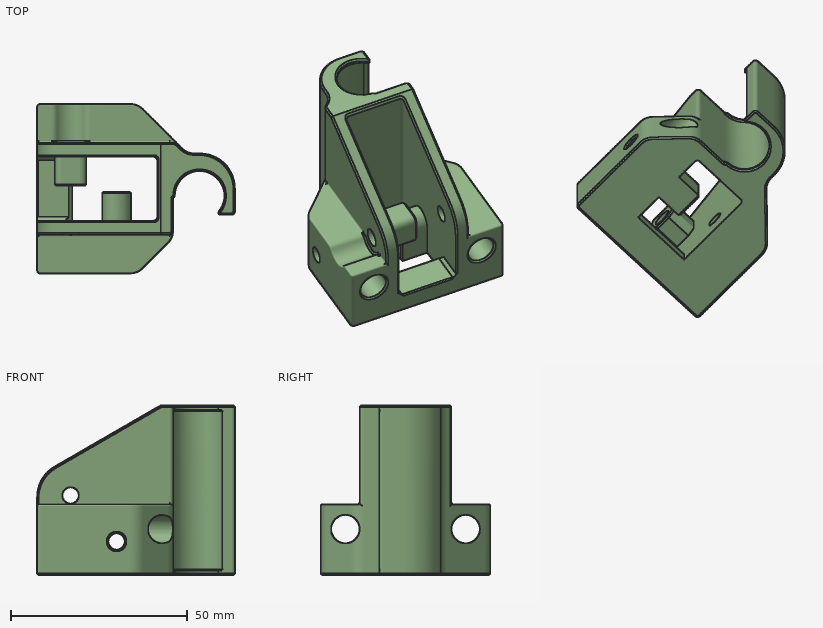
import cadquery as cq
import math

BODY_LENGTH = 38.5
BODY_HALF_WIDTH = 24.0
HOUSING_HALF_WIDTH = 13.0
BASE_HEIGHT = 20.0
TOTAL_HEIGHT = 48.0
DIAGONAL_SUM = 52.4
DIAGONAL_FILLET = 5.0
CORNER_FILLET = 1.0
EDGE_CHAMFER = 0.5
RIM_FILLET = 0.5

CLIP_X = 46.0
CLIP_OUTER_RADIUS = 10.0
BORE_Y = -2.0
BORE_RADIUS = 7.0
CLIP_TIP_Y = -7.4
TIP_INNER_FILLET = 0.6
RELIEF_RADIUS = 7.5
RELIEF_TIP_X = 52.4
LIP_HEIGHT = 1.2
BORE_LEAD_IN = 0.7

NOSE_RADIUS = 10.0
NOSE_CENTRE_Z = 22.0
SLOPE_ANGLE = math.radians(30)
NOSE_END_X = NOSE_RADIUS * (1 - math.sin(SLOPE_ANGLE))
NOSE_END_Z = NOSE_CENTRE_Z + NOSE_RADIUS * math.cos(SLOPE_ANGLE)
SLOPE_END_X = NOSE_END_X + (TOTAL_HEIGHT - NOSE_END_Z) / math.tan(SLOPE_ANGLE)

POCKET_HALF_WIDTH = 9.0
POCKET_LENGTH = 34.0
FLOOR_LENGTH = 10.0
FLOOR_HEIGHT = 6.1
FLOOR_CHAMFER = 1.0
FLOOR_FRONT_CHAMFER = 0.4

MOUNT_HOLE_Y = 17.0
MOUNT_HOLE_Z = 13.0
MOUNT_HOLE_DIAMETER = 8.0

SCREW_DIAMETER = 4.6
UPPER_SCREW_X = 9.5
UPPER_SCREW_Z = 22.5
LOWER_SCREW_X = 22.5
LOWER_SCREW_Z = 9.5
BOSS_HOLE_DIAMETER = 5.2
BOSS_LENGTH = 8.2
UPPER_BOSS_WIDTH = 9.0
UPPER_BOSS_TOP = 28.5
UPPER_BOSS_BOTTOM = 18.3
UPPER_BOSS_FILLET = 2.0
UPPER_BOSS_BEVEL = 2.2
LOWER_BOSS_RADIUS = 4.1
HEAD_TROUGH_RADIUS = 5.0
TROUGH_LIP_RADIUS = 2.0
TROUGH_SPREAD = HEAD_TROUGH_RADIUS + TROUGH_LIP_RADIUS
TROUGH_LIP_DROP = UPPER_SCREW_Z - BASE_HEIGHT + TROUGH_LIP_RADIUS
TROUGH_HALF_WIDTH = math.sqrt(TROUGH_SPREAD**2 - TROUGH_LIP_DROP**2)
WALL_OVERLAP = 1.0

MARGIN = 1.0
TOLERANCE = 0.01


def plan_prism(height):
    """Block outline with the tube clip, extruded upwards from Z = 0."""
    diagonal_start_x = DIAGONAL_SUM - BODY_HALF_WIDTH
    tip_drop = BORE_Y - CLIP_TIP_Y
    tip_x = CLIP_X + math.sqrt(BORE_RADIUS**2 - tip_drop**2)
    outer_x = CLIP_X + CLIP_OUTER_RADIUS
    clip_diagonal_x = DIAGONAL_SUM - CLIP_OUTER_RADIUS
    arc_step = CLIP_OUTER_RADIUS * math.sqrt(0.5)
    prism = (
        cq.Workplane("XY")
        .moveTo(0, -BODY_HALF_WIDTH)
        .lineTo(diagonal_start_x, -BODY_HALF_WIDTH)
        .lineTo(BODY_LENGTH, BODY_LENGTH - DIAGONAL_SUM)
        .lineTo(BODY_LENGTH, BORE_Y - BORE_LEAD_IN)
        .lineTo(CLIP_X - BORE_RADIUS, BORE_Y)
        .threePointArc((CLIP_X, BORE_Y + BORE_RADIUS), (CLIP_X + BORE_RADIUS, BORE_Y))
        .radiusArc((tip_x, CLIP_TIP_Y), BORE_RADIUS)
        .lineTo(outer_x, CLIP_TIP_Y)
        .lineTo(outer_x, 0)
        .threePointArc((CLIP_X + arc_step, arc_step), (CLIP_X, CLIP_OUTER_RADIUS))
        .lineTo(clip_diagonal_x, CLIP_OUTER_RADIUS)
        .lineTo(diagonal_start_x, BODY_HALF_WIDTH)
        .lineTo(0, BODY_HALF_WIDTH)
        .close()
        .extrude(height)
    )

    def fillet_corner(solid, x, y, radius):
        corner = cq.selectors.BoxSelector(
            (x - TOLERANCE, y - TOLERANCE, 0), (x + TOLERANCE, y + TOLERANCE, height)
        )
        return solid.edges("|Z").edges(corner).fillet(radius)

    for x, y, radius in (
        (0, -BODY_HALF_WIDTH, CORNER_FILLET),
        (0, BODY_HALF_WIDTH, CORNER_FILLET),
        (diagonal_start_x, -BODY_HALF_WIDTH, DIAGONAL_FILLET),
        (diagonal_start_x, BODY_HALF_WIDTH, DIAGONAL_FILLET),
        (BODY_LENGTH, BODY_LENGTH - DIAGONAL_SUM, DIAGONAL_FILLET),
        (clip_diagonal_x, CLIP_OUTER_RADIUS, DIAGONAL_FILLET),
        (outer_x, CLIP_TIP_Y, CORNER_FILLET),
        (tip_x, CLIP_TIP_Y, TIP_INNER_FILLET),
    ):
        prism = fillet_corner(prism, x, y, radius)
    return prism


def side_profile():
    """Side outline of the housing: rounded nose, then a slope up to the full height."""
    length = CLIP_X + CLIP_OUTER_RADIUS
    return (
        cq.Workplane("XZ")
        .lineTo(0, NOSE_CENTRE_Z)
        .radiusArc((NOSE_END_X, NOSE_END_Z), NOSE_RADIUS)
        .lineTo(SLOPE_END_X, TOTAL_HEIGHT)
        .lineTo(length, TOTAL_HEIGHT)
        .lineTo(length, 0)
        .close()
        .extrude(HOUSING_HALF_WIDTH, both=True)
    )


def pocket():
    """Through pocket with a floor bar left across its open end."""
    cut = (
        cq.Workplane("XY")
        .rect(POCKET_LENGTH + MARGIN, 2 * POCKET_HALF_WIDTH, centered=(False, True))
        .extrude(TOTAL_HEIGHT + 2 * MARGIN)
        .translate((-MARGIN, 0, -MARGIN))
        .edges("|Z and >X")
        .fillet(CORNER_FILLET)
    )
    return cut.cut(floor_bar())


def floor_bar():
    """Bar across the pocket, bevelled along its inner top edge and up both pocket walls."""
    w = POCKET_HALF_WIDTH
    top = FLOOR_HEIGHT
    c = FLOOR_CHAMFER
    start = -2 * MARGIN
    bottom = -2 * MARGIN
    bar = (
        cq.Workplane("YZ", origin=(start, 0, 0))
        .polyline([(-w, bottom), (w, bottom), (w, top + c), (w - c, top), (c - w, top), (-w, top + c)])
        .close()
        .extrude(FLOOR_LENGTH - start)
    )
    bevel = (
        cq.Workplane("XZ")
        .moveTo(FLOOR_LENGTH - 2 * c, top + c)
        .lineTo(FLOOR_LENGTH + c, top + c)
        .lineTo(FLOOR_LENGTH + c, top - 2 * c)
        .close()
        .extrude(w, both=True)
    )
    return bar.cut(bevel)


def cylinder_along_y(x, z, radius, y_start, y_end):
    """Cylinder parallel to Y between two Y positions."""
    return cq.Workplane("XZ", origin=(x, y_start, z)).circle(radius).extrude(y_start - y_end)


def head_trough():
    """Trough through the +Y shoulder around the upper screw, with rounded lips."""
    join_x = TROUGH_HALF_WIDTH * HEAD_TROUGH_RADIUS / TROUGH_SPREAD
    join_z = UPPER_SCREW_Z - TROUGH_LIP_DROP * HEAD_TROUGH_RADIUS / TROUGH_SPREAD
    length = BODY_HALF_WIDTH - HOUSING_HALF_WIDTH + MARGIN
    trough = (
        cq.Workplane("XZ", origin=(UPPER_SCREW_X, BODY_HALF_WIDTH + MARGIN, 0))
        .moveTo(-TROUGH_HALF_WIDTH, BASE_HEIGHT)
        .radiusArc((-join_x, join_z), TROUGH_LIP_RADIUS)
        .threePointArc((0, UPPER_SCREW_Z - HEAD_TROUGH_RADIUS), (join_x, join_z))
        .radiusArc((TROUGH_HALF_WIDTH, BASE_HEIGHT), TROUGH_LIP_RADIUS)
        .close()
        .extrude(length)
    )
    return trough.faces("<Y").edges("not >Z").chamfer(RIM_FILLET)


def make_base():
    """Lower block with the screw-head trough, a rounded top rim and a bevelled bottom rim."""
    base = plan_prism(BASE_HEIGHT).cut(head_trough())
    base = base.faces("<Z").edges().chamfer(EDGE_CHAMFER)
    trough_bottom = UPPER_SCREW_Z - HEAD_TROUGH_RADIUS
    reach = BODY_HALF_WIDTH + CLIP_X
    upper_edges = cq.selectors.BoxSelector(
        (-MARGIN, -reach, trough_bottom - MARGIN), (reach, reach, BASE_HEIGHT + MARGIN)
    )
    inside_trough = cq.selectors.BoxSelector(
        (UPPER_SCREW_X - 2 * HEAD_TROUGH_RADIUS, HOUSING_HALF_WIDTH - MARGIN, trough_bottom - MARGIN),
        (UPPER_SCREW_X + 2 * HEAD_TROUGH_RADIUS, BODY_HALF_WIDTH - MARGIN, BASE_HEIGHT + MARGIN),
    )
    return base.edges(upper_edges - inside_trough).fillet(RIM_FILLET)


def make_housing():
    """Upper housing and clip; both side faces, the top and the bottom get bevelled rims."""
    housing = plan_prism(TOTAL_HEIGHT).intersect(side_profile())
    corner = cq.selectors.BoxSelector(
        (BODY_LENGTH - 2 * CORNER_FILLET, -HOUSING_HALF_WIDTH - TOLERANCE, MARGIN),
        (BODY_LENGTH, -HOUSING_HALF_WIDTH + TOLERANCE, TOTAL_HEIGHT - MARGIN),
    )
    housing = housing.edges("|Z").edges(corner).fillet(CORNER_FILLET)
    slope_top_line = cq.selectors.BoxSelector(
        (SLOPE_END_X - MARGIN, -MARGIN, TOTAL_HEIGHT - MARGIN),
        (SLOPE_END_X + MARGIN, MARGIN, TOTAL_HEIGHT + MARGIN),
    )
    rims = housing.faces("<Z or >Z or <Y or >Y").edges(-slope_top_line).edges(-corner)
    return rims.chamfer(EDGE_CHAMFER)


def step_strip(side, start, end):
    """Concave rounding between the base top and one housing side, from X = start to X = end."""
    y = HOUSING_HALF_WIDTH
    z = BASE_HEIGHT
    r = RIM_FILLET
    strip = (
        cq.Workplane("YZ", origin=(start, 0, 0))
        .moveTo(y + r, z)
        .radiusArc((y, z + r), r)
        .lineTo(y - r, z + r)
        .lineTo(y - r, z - r)
        .lineTo(y + r, z - r)
        .close()
        .extrude(end - start)
    )
    return strip if side > 0 else strip.mirror("XZ")


def add_step_strips(body):
    """Round the inner corner along both housing sides; the +Y one is split by the trough."""
    start = EDGE_CHAMFER
    end = BODY_LENGTH - CORNER_FILLET
    body = body.union(step_strip(-1, start, end))
    body = body.union(step_strip(1, start, UPPER_SCREW_X - TROUGH_HALF_WIDTH))
    return body.union(step_strip(1, UPPER_SCREW_X + TROUGH_HALF_WIDTH, end))


def on_nose_profile(edge):
    """True for an edge that lies on the front face, the rounded nose or the slope."""
    middle = edge.positionAt(0.5)
    if middle.z < NOSE_CENTRE_Z:
        offset = middle.x
    elif middle.z < NOSE_END_Z:
        offset = math.hypot(middle.x - NOSE_RADIUS, middle.z - NOSE_CENTRE_Z) - NOSE_RADIUS
    else:
        offset = middle.z - NOSE_END_Z - (middle.x - NOSE_END_X) * math.tan(SLOPE_ANGLE)
    return abs(offset) < TOLERANCE


def cut_pocket(body):
    """Cut the pocket and bevel its rim where it breaks through the front, nose and slope."""
    body = body.cut(pocket())
    pocket_space = cq.selectors.BoxSelector(
        (-MARGIN, -POCKET_HALF_WIDTH - TOLERANCE, FLOOR_HEIGHT - TOLERANCE),
        (POCKET_LENGTH + TOLERANCE, POCKET_HALF_WIDTH + TOLERANCE, TOTAL_HEIGHT),
    )
    rim = [edge for edge in body.edges(pocket_space).vals() if on_nose_profile(edge)]
    corner_top = FLOOR_HEIGHT + FLOOR_CHAMFER + TOLERANCE
    wall_rim = [edge for edge in rim if edge.Center().z > corner_top]
    floor_edge = [edge for edge in rim if edge.Center().z < FLOOR_HEIGHT + TOLERANCE]
    body = body.newObject(wall_rim).chamfer(EDGE_CHAMFER)
    return body.newObject(floor_edge).chamfer(FLOOR_FRONT_CHAMFER)


def bore_relief():
    """Wider bore between the two end lips of the clip, opening towards -Y."""
    low = LIP_HEIGHT
    high = TOTAL_HEIGHT - LIP_HEIGHT
    step = RELIEF_RADIUS - BORE_RADIUS
    bore = (
        cq.Workplane("XY", origin=(CLIP_X, BORE_Y, low))
        .circle(RELIEF_RADIUS)
        .extrude(high - low)
        .faces("<Z or >Z")
        .edges()
        .chamfer(step)
    )
    left = CLIP_X - RELIEF_RADIUS
    mouth = (
        cq.Workplane("XY", origin=(left, BORE_Y, low))
        .rect(RELIEF_TIP_X - left, 2 * (CLIP_TIP_Y - BORE_Y), centered=(False, True))
        .extrude(high - low)
        .faces("<Z or >Z")
        .edges("|Y")
        .chamfer(step)
    )
    above_axis = (
        cq.Workplane("XY", origin=(CLIP_X, BORE_Y, low))
        .rect(2 * CLIP_OUTER_RADIUS, 2 * CLIP_OUTER_RADIUS, centered=(True, False))
        .extrude(high - low)
    )
    return bore.union(mouth.cut(above_axis))


def upper_boss():
    """Rounded block on the +Y pocket wall around the upper screw hole."""
    left = UPPER_SCREW_X - UPPER_BOSS_WIDTH / 2
    right = UPPER_SCREW_X + UPPER_BOSS_WIDTH / 2
    shoulder_z = UPPER_BOSS_BOTTOM + UPPER_BOSS_BEVEL
    block = (
        cq.Workplane("XZ", origin=(0, POCKET_HALF_WIDTH + WALL_OVERLAP, 0))
        .moveTo(left, UPPER_BOSS_TOP)
        .lineTo(right, UPPER_BOSS_TOP)
        .lineTo(right, shoulder_z)
        .lineTo(right - UPPER_BOSS_BEVEL, UPPER_BOSS_BOTTOM)
        .lineTo(left + UPPER_BOSS_BEVEL, UPPER_BOSS_BOTTOM)
        .lineTo(left, shoulder_z)
        .close()
        .extrude(BOSS_LENGTH + WALL_OVERLAP)
    )
    rounded = cq.selectors.BoxSelector(
        (left - MARGIN, -BODY_HALF_WIDTH, shoulder_z - TOLERANCE),
        (right + MARGIN, BODY_HALF_WIDTH, UPPER_BOSS_TOP + MARGIN),
    )
    block = block.edges("|Y").edges(rounded).fillet(UPPER_BOSS_FILLET)
    return block.faces("<Y").edges().chamfer(EDGE_CHAMFER)


def lower_boss():
    """Boss on the -Y pocket wall, round above the lower screw hole and straight down to Z = 0."""
    block = (
        cq.Workplane("XZ", origin=(0, BOSS_LENGTH - POCKET_HALF_WIDTH, 0))
        .moveTo(LOWER_SCREW_X - LOWER_BOSS_RADIUS, 0)
        .lineTo(LOWER_SCREW_X - LOWER_BOSS_RADIUS, LOWER_SCREW_Z)
        .threePointArc(
            (LOWER_SCREW_X, LOWER_SCREW_Z + LOWER_BOSS_RADIUS),
            (LOWER_SCREW_X + LOWER_BOSS_RADIUS, LOWER_SCREW_Z),
        )
        .lineTo(LOWER_SCREW_X + LOWER_BOSS_RADIUS, 0)
        .close()
        .extrude(BOSS_LENGTH + WALL_OVERLAP)
    )
    return block.faces(">Y").edges().chamfer(EDGE_CHAMFER)


def countersunk_hole(plane, origin, diameter, depth):
    """Cutter for a straight hole with a 45-degree bevel at its mouth."""
    mouth = diameter / 2 + EDGE_CHAMFER
    return (
        cq.Workplane(plane, origin=origin)
        .circle(diameter / 2)
        .extrude(depth)
        .union(cq.Workplane(plane, origin=origin).circle(mouth).extrude(EDGE_CHAMFER, taper=45))
    )


def upper_screw_hole():
    """Cutter through both housing walls, wider in the boss and the +Y wall."""
    narrow = cylinder_along_y(UPPER_SCREW_X, UPPER_SCREW_Z, SCREW_DIAMETER / 2, -BODY_HALF_WIDTH, 0)
    wide = cylinder_along_y(UPPER_SCREW_X, UPPER_SCREW_Z, BOSS_HOLE_DIAMETER / 2, 0, BODY_HALF_WIDTH)
    return narrow.union(wide)


def build():
    """Join base and housing, then add the pocket, bore, bosses and holes."""
    body = make_base().union(make_housing())
    body = add_step_strips(body)
    body = cut_pocket(body).cut(bore_relief())
    body = body.union(upper_boss()).union(lower_boss())
    for side in (-1, 1):
        mount_mouth = (0, side * MOUNT_HOLE_Y, MOUNT_HOLE_Z)
        body = body.cut(countersunk_hole("YZ", mount_mouth, MOUNT_HOLE_DIAMETER, BODY_LENGTH + MARGIN))
    lower_mouth = (LOWER_SCREW_X, -BODY_HALF_WIDTH, LOWER_SCREW_Z)
    body = body.cut(countersunk_hole("ZX", lower_mouth, SCREW_DIAMETER, 2 * BODY_HALF_WIDTH))
    return body.cut(upper_screw_hole())


result = build()